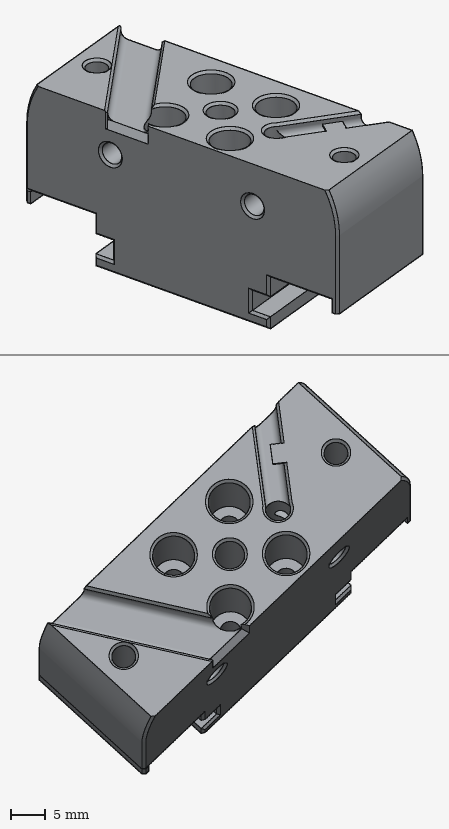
import cadquery as cq
import math

length = 55.0
width = 21.0
height = 26.66
half_length = length / 2
half_width = width / 2
front_y = -half_width
edge_chamfer = 0.4

shoulder_z = 19.66
top_half_length = 25.65
shelf_z = 8.66
lip_height = 2.0
lip_thickness = 1.0
lip_bottom_z = shelf_z - lip_height
rail_half_length = 15.35
neck_half_length = 12.2
flange_thickness = 2.0
neck_top_z = 5.35

hole_row_y = -0.83
bolt_offset = 5.7
bolt_diameter = 3.0
counterbore_diameter = 6.0
counterbore_depth = 10.0
centre_diameter = 4.2
end_hole_x = 21.75
end_hole_diameter = 3.4
wire_hole_x = 9.87
wire_hole_diameter = 3.6
cross_hole_x = 12.5
cross_hole_z = shoulder_z
cross_hole_diameter = 3.4

groove_depth = 2.0
groove_fillet = 1.0
wide_groove_width = 6.2
wide_groove_x = -15.2
wide_groove_angle = 120.7
wire_groove_width = 3.42
wire_groove_angle = 51.5
groove_reach = 30.0
mouth_ramp = 1.0
mouth_corner_ease = 0.25
tab_length = 3.0
tab_distance = 8.3
tab_thickness = 0.3
tab_end_offset = 0.1
tab_root = 1.0


def on_front(x, z):
    """Workplane at a point of the front face, facing away from the housing."""
    return cq.Workplane("XZ", origin=(x, front_y, z))


def on_top(x, y):
    """Workplane at a point of the top face, facing up."""
    return cq.Workplane("XY", origin=(x, y, height))


def housing_block():
    """Outline with its own lip at the right end only, extruded from front to back."""
    rise = height - shoulder_z
    inset = half_length - top_half_length
    arc_radius = (rise**2 + inset**2) / (2 * inset)
    half_sweep = math.asin(rise / arc_radius) / 2
    mid_x = half_length - arc_radius * (1 - math.cos(half_sweep))
    mid_z = shoulder_z + arc_radius * math.sin(half_sweep)

    right_side = [
        (rail_half_length, 0),
        (rail_half_length, flange_thickness),
        (neck_half_length, flange_thickness),
        (neck_half_length, neck_top_z),
        (rail_half_length, neck_top_z),
        (rail_half_length, shelf_z),
        (half_length - lip_thickness, shelf_z),
        (half_length - lip_thickness, lip_bottom_z),
        (half_length, lip_bottom_z),
        (half_length, shoulder_z),
    ]
    left_side = [
        (-half_length, shelf_z),
        (-rail_half_length, shelf_z),
        (-rail_half_length, neck_top_z),
        (-neck_half_length, neck_top_z),
        (-neck_half_length, flange_thickness),
        (-rail_half_length, flange_thickness),
        (-rail_half_length, 0),
    ]
    outline = (
        cq.Workplane("XZ", origin=(0, half_width, 0))
        .polyline(right_side)
        .threePointArc((mid_x, mid_z), (top_half_length, height))
        .lineTo(-top_half_length, height)
        .threePointArc((-mid_x, mid_z), (-half_length, shoulder_z))
    )
    for point in left_side:
        outline = outline.lineTo(*point)
    return outline.close().extrude(width)


def front_edges_to_chamfer(block):
    """Front edges, without the top edge and the edges of the right lip's inside and tip."""
    kept = []
    for edge in block.faces("<Y").edges().vals():
        middle = edge.Center()
        on_top_face = middle.z > height - edge_chamfer
        on_lip = lip_bottom_z - edge_chamfer < middle.z < shelf_z - edge_chamfer
        inside_lip = on_lip and middle.x > rail_half_length + edge_chamfer
        if not on_top_face and not inside_lip:
            kept.append(edge)
    return block.newObject(kept)


def drilled(plane, diameter, depth):
    """Round hole with a chamfered rim, going into the face that the plane lies on."""
    rim_radius = diameter / 2 + edge_chamfer
    bore = plane.circle(diameter / 2).extrude(-depth)
    rim = cq.Solid.makeCone(
        rim_radius, diameter / 2, edge_chamfer,
        pnt=plane.plane.origin, dir=-plane.plane.zDir,
    )
    return bore.union(cq.Workplane(rim))


def groove_plane(x, angle, start):
    """Cross-section plane of a groove, at a distance along it from its point on the hole row."""
    along_x = math.cos(math.radians(angle))
    along_y = math.sin(math.radians(angle))
    origin = (x + start * along_x, hole_row_y + start * along_y, height)
    return cq.Plane(origin=origin, xDir=(-along_y, along_x, 0), normal=(along_x, along_y, 0))


def groove_channel(x, angle, groove_width, start):
    """Straight channel with rounded corners along its floor."""
    half = groove_width / 2
    floor_half = half - groove_fillet
    fillet_top = -(groove_depth - groove_fillet)
    return (
        cq.Workplane(groove_plane(x, angle, start))
        .moveTo(-half, 0)
        .lineTo(-half, fillet_top)
        .radiusArc((-floor_half, -groove_depth), -groove_fillet)
        .lineTo(floor_half, -groove_depth)
        .radiusArc((half, fillet_top), -groove_fillet)
        .lineTo(half, 0)
        .close()
        .extrude(groove_reach - start)
    )


def groove_rim(x, angle, groove_width, side, start):
    """Chamfer along one top edge of a groove; side is +1 for the left of its direction, -1 for the right."""
    wall = side * groove_width / 2
    return (
        cq.Workplane(groove_plane(x, angle, start))
        .polyline([(wall, 0), (wall + side * edge_chamfer, 0), (wall, -edge_chamfer)])
        .close()
        .extrude(groove_reach - start)
    )


def wide_groove():
    """Groove across the left half; its right rim chamfer ends at the front left counterbore."""
    shape = (wide_groove_x, wide_groove_angle, wide_groove_width)
    angle = math.radians(wide_groove_angle)
    to_counterbore = (-bolt_offset - wide_groove_x) * math.cos(angle) - bolt_offset * math.sin(angle)
    return (
        groove_channel(*shape, -groove_reach)
        .union(groove_rim(*shape, 1, -groove_reach))
        .union(groove_rim(*shape, -1, to_counterbore))
    )


def groove_mouth():
    """Ramp that deepens the wide groove where it opens at the front face, with its sharp left corner eased."""
    mouth_depth = groove_depth + mouth_ramp
    strip = (
        on_top(wide_groove_x, hole_row_y)
        .transformed(rotate=(0, 0, wide_groove_angle))
        .rect(2 * groove_reach, wide_groove_width)
        .extrude(-mouth_depth)
    )
    wedge = (
        cq.Workplane("YZ", origin=(-half_length, 0, 0))
        .moveTo(front_y, height)
        .lineTo(front_y, height - mouth_depth)
        .lineTo(front_y + mouth_ramp, height - groove_depth)
        .lineTo(front_y + mouth_ramp, height)
        .close()
        .extrude(length)
    )

    angle = math.radians(wide_groove_angle)
    x_per_y = math.cos(angle) / math.sin(angle)
    wall_x = wide_groove_x + (front_y - hole_row_y) * x_per_y - wide_groove_width / 2 / math.sin(angle)
    eased_corner = (
        on_top(0, 0)
        .moveTo(wall_x, front_y)
        .lineTo(wall_x - mouth_corner_ease / math.sin(angle), front_y)
        .lineTo(wall_x + mouth_corner_ease * x_per_y, front_y + mouth_corner_ease)
        .close()
        .extrude(-mouth_depth)
    )
    return strip.intersect(wedge).union(eased_corner)


def wire_groove():
    """Groove from the wire hole to the back, partly bridged by a thin tab flush with the top.

    The tab is left standing on the right of the groove and ends just short of its centreline.
    """
    shape = (wire_hole_x, wire_groove_angle, wire_groove_width)
    outer_edge = wire_groove_width / 2 + edge_chamfer + tab_root
    tab_reach = outer_edge - tab_end_offset
    tab = (
        on_top(wire_hole_x, hole_row_y)
        .transformed(rotate=(0, 0, wire_groove_angle))
        .center(tab_distance, -(outer_edge + tab_end_offset) / 2)
        .rect(tab_length, tab_reach)
        .extrude(-tab_thickness)
    )
    return (
        groove_channel(*shape, 0)
        .union(groove_rim(*shape, 1, 0))
        .union(groove_rim(*shape, -1, 0))
        .cut(tab)
    )


def make_housing():
    block = housing_block()
    body = front_edges_to_chamfer(block).chamfer(edge_chamfer)

    body = body.cut(wide_groove())
    body = body.cut(groove_mouth())
    body = body.cut(wire_groove())

    for side_x in (-1, 1):
        for side_y in (-1, 1):
            bolt_x = side_x * bolt_offset
            bolt_y = hole_row_y + side_y * bolt_offset
            body = body.cut(drilled(on_top(bolt_x, bolt_y), counterbore_diameter, counterbore_depth))
            body = body.cut(on_top(bolt_x, bolt_y).circle(bolt_diameter / 2).extrude(-height))
        body = body.cut(drilled(on_top(side_x * end_hole_x, hole_row_y), end_hole_diameter, height))
        body = body.cut(drilled(on_front(side_x * cross_hole_x, cross_hole_z), cross_hole_diameter, width))

    body = body.cut(drilled(on_top(0, hole_row_y), centre_diameter, height))
    return body.cut(drilled(on_top(wire_hole_x, hole_row_y), wire_hole_diameter, height))


def make_lip():
    """Separate lip under the left end, with its outer front corner chamfered."""
    return (
        cq.Workplane("XY", origin=(-half_length, front_y, lip_bottom_z))
        .box(lip_thickness, width, lip_height, centered=False)
        .edges("|Z and <X and <Y")
        .chamfer(edge_chamfer)
    )


housing = make_housing()
lip = make_lip()
result = cq.Compound.makeCompound([housing.val(), lip.val()])